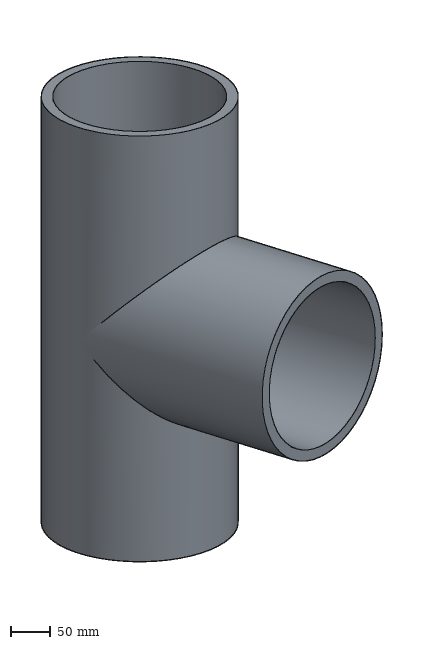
import cadquery as cq

run_length = 590.0
outer_diameter = 250.0
bore_diameter = 220.5
overall_width = 417.0
branch_reach = overall_width - outer_diameter / 2


def run_cylinder(diameter):
    """Cylinder along Z, centred on the origin."""
    return cq.Workplane("XY").circle(diameter / 2).extrude(run_length / 2, both=True)


def branch_cylinder(diameter):
    """Cylinder along +X, starting on the run axis."""
    return cq.Workplane("YZ").circle(diameter / 2).extrude(branch_reach)


def tee_solid(diameter):
    """Run and branch cylinders of one diameter joined together."""
    return run_cylinder(diameter).union(branch_cylinder(diameter))


result = tee_solid(outer_diameter).cut(tee_solid(bore_diameter))